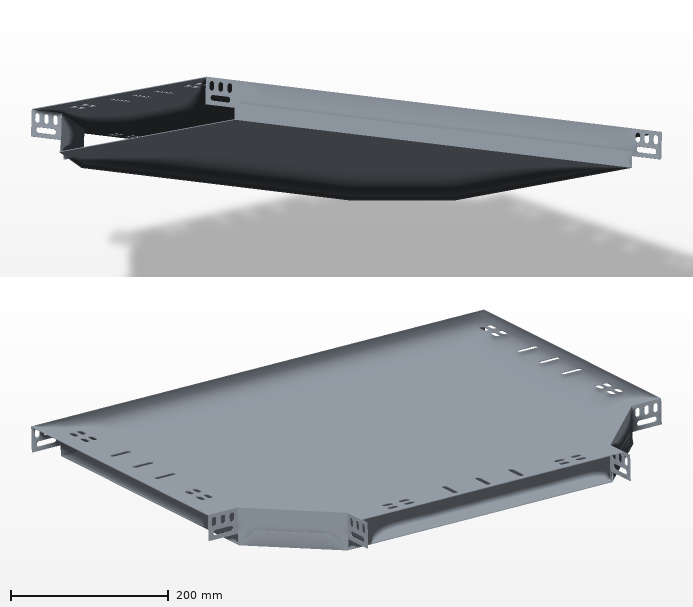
import cadquery as cq
import math


sheet = 1.0
half_width = 201.0
corner = 100.0
ear_length = 45.0
ear_depth = 35.0
wall_depth = 50.0
branch_trim = 14.0
skirt_height = 20.0

slot_width = 7.0
long_slot = 30.0
floor_short_slot = 15.0
ear_short_slot = 12.0
floor_long_inset = 35.0
floor_long_pitch = 50.5
group_inset = 32.5
group_offset = 131.0
group_pitch = 25.0
group_row_gap = 11.5
ear_slot_pitch = 14.0
ear_short_depth = 11.0
ear_long_depth = 26.0

tilt_x = -21.7
tilt_y = -27.1
tilt_z = -18.5

core = half_width + corner
reach = core + ear_length
beyond = reach + 7.0
ear_middle = core + ear_length / 2
cover_lip = sheet * math.sqrt(2)


def tee_prism(inset, end, bottom, height):
    """Prism of the tee outline, its walls moved in by `inset` and its open ends at `end`."""
    side = half_width - inset
    knee = core - inset * (math.sqrt(2) - 1)
    outline = [
        (side, -end),
        (side, end),
        (-side, end),
        (-side, knee),
        (-knee, side),
        (-end, side),
        (-end, -side),
        (-knee, -side),
        (-side, -knee),
        (-side, -end),
    ]
    return cq.Workplane("XY").workplane(offset=bottom).polyline(outline).close().extrude(height)


def box_between(x_range, y_range, z_range):
    size = [high - low for low, high in (x_range, y_range, z_range)]
    low_corner = cq.Vector(x_range[0], y_range[0], z_range[0])
    return cq.Workplane(cq.Solid.makeBox(*size, low_corner))


def cut_below_ears(tray):
    """Leave only the shallow ears past the full-height walls."""
    depths = (-wall_depth - sheet, -ear_depth)
    tray = tray.cut(box_between((-beyond, beyond), (core, beyond), depths))
    tray = tray.cut(box_between((-beyond, beyond), (-beyond, -core), depths))
    return tray.cut(box_between((-beyond, -core), (-beyond, beyond), depths))


def floor_slots():
    """Slots of one open end, for an end at +Y."""
    depth = 2 * sheet
    plane = cq.Workplane("XY").workplane(offset=-1.5 * sheet)
    long_row = [(i * floor_long_pitch, reach - floor_long_inset) for i in (-1, 0, 1)]
    slots = plane.pushPoints(long_row).slot2D(long_slot, slot_width, 90).extrude(depth)
    for side in (-1, 1):
        group = (
            plane.center(side * group_offset, reach - group_inset)
            .rarray(group_pitch, group_row_gap, 2, 2)
            .slot2D(floor_short_slot, slot_width)
            .extrude(depth)
        )
        slots = slots.union(group)
    return slots


def ear_slots():
    """Slots through both ears of one open end, for an end at +Y."""
    plane = cq.Workplane("YZ").workplane(offset=-half_width - sheet)
    through = 2 * (half_width + sheet)
    short_row = [(ear_middle + i * ear_slot_pitch, -ear_short_depth) for i in (-1, 0, 1)]
    slots = plane.pushPoints(short_row).slot2D(ear_short_slot, slot_width, 90).extrude(through)
    long_one = plane.center(ear_middle, -ear_long_depth).slot2D(long_slot, slot_width).extrude(through)
    return slots.union(long_one)


def make_tray():
    tray = tee_prism(0, reach, -wall_depth, wall_depth)
    tray = tray.cut(tee_prism(sheet, beyond, -wall_depth - sheet, wall_depth))
    tray = cut_below_ears(tray)
    floor_edge = reach - branch_trim
    inner = half_width - sheet
    tray = tray.cut(box_between((-beyond, -floor_edge), (-inner, inner), (-2 * sheet, sheet)))
    end_slots = floor_slots().union(ear_slots())
    for turn in (0, 90, 180):
        tray = tray.cut(end_slots.rotate((0, 0, 0), (0, 0, 1), turn))
    return tray


def corner_skirt():
    """Cover skirt on the -X, +Y corner, its two ends bevelled at 45 degrees."""
    middle = (half_width + core) / 2
    plane = cq.Plane(origin=(-middle, middle, -wall_depth), xDir=(-1, -1, 0), normal=(-1, 1, 0))
    foot = (corner - cover_lip) / math.sqrt(2)
    crest = foot - skirt_height
    profile = [(-foot, 0), (foot, 0), (crest, skirt_height), (-crest, skirt_height)]
    return cq.Workplane(plane).polyline(profile).close().extrude(sheet)


def make_cover():
    outline = [
        (half_width + sheet, -core),
        (half_width + sheet, core),
        (-half_width - cover_lip, core),
        (-core, half_width + cover_lip),
        (-core, -half_width - cover_lip),
        (-half_width - cover_lip, -core),
    ]
    bottom = -wall_depth - sheet
    plate = cq.Workplane("XY").workplane(offset=bottom).polyline(outline).close().extrude(sheet)
    back_skirt = box_between(
        (half_width, half_width + sheet), (-core, core), (bottom, -wall_depth + skirt_height)
    )
    front_skirt = corner_skirt()
    return plate.union(back_skirt).union(front_skirt).union(front_skirt.mirror("XZ"))


def tilted(body):
    axes = (((1, 0, 0), tilt_x), ((0, 1, 0), tilt_y), ((0, 0, 1), tilt_z))
    for axis, angle in axes:
        body = body.rotate((0, 0, 0), axis, angle)
    return body


tray = tilted(make_tray())
cover = tilted(make_cover())
result = cq.Compound.makeCompound([tray.val(), cover.val()])